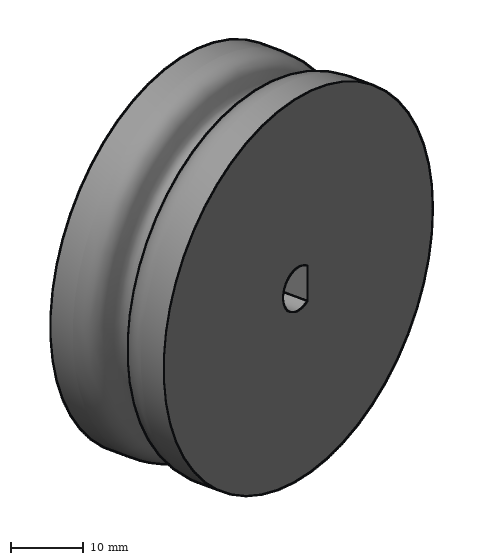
import cadquery as cq

wheel_width = 20.0
wheel_radius = 30.0

rim_width = 4.0
groove_depth = 5.0
wall_offset = 2.2
wall_depth = 2.0

bore_radius = 3.4
bore_flat_offset = 2.0

half_width = wheel_width / 2
groove_half_width = half_width - rim_width
throat_radius = wheel_radius - groove_depth
wall_radius = wheel_radius - wall_depth


def make_wheel():
    """Revolve the grooved half section about the X axis."""
    left_edge = (-groove_half_width, wheel_radius)
    left_wall = (-wall_offset, wall_radius)
    throat = (0, throat_radius)
    right_wall = (wall_offset, wall_radius)
    right_edge = (groove_half_width, wheel_radius)
    along_axle = (1, 0)

    section = (
        cq.Workplane("XY")
        .moveTo(-half_width, 0)
        .lineTo(-half_width, wheel_radius)
        .lineTo(*left_edge)
        .spline([left_wall, throat], tangents=[along_axle, along_axle], includeCurrent=True)
        .spline([right_wall, right_edge], tangents=[along_axle, along_axle], includeCurrent=True)
        .lineTo(half_width, wheel_radius)
        .lineTo(half_width, 0)
        .close()
    )
    return section.revolve(360, (0, 0, 0), (1, 0, 0))


def make_bore():
    """Through bore with one flat, facing the +Y side."""
    bore_start = cq.Workplane("YZ", origin=(-half_width, 0, 0))
    round_bore = bore_start.circle(bore_radius).extrude(wheel_width)
    bore_size = 2 * bore_radius
    flat_side = (
        bore_start.center(bore_flat_offset + bore_radius, 0)
        .rect(bore_size, bore_size)
        .extrude(wheel_width)
    )
    return round_bore.cut(flat_side)


result = make_wheel().cut(make_bore())